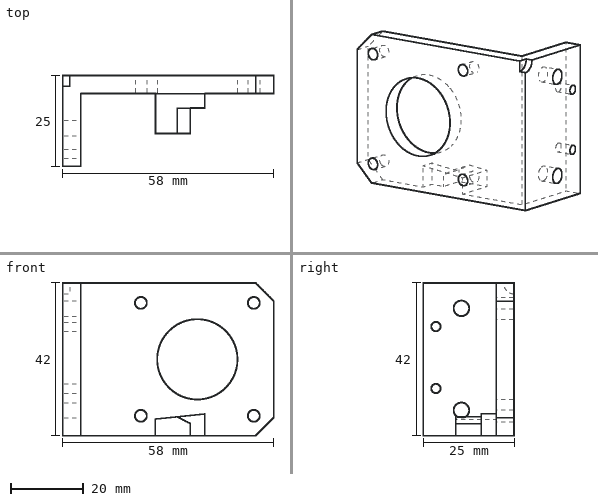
import cadquery as cq

LENGTH = 58.0
DEPTH = 25.0
HEIGHT = 42.0
WALL = 5.0
CORNER_CHAMFER = 5.0

BORE_DIAMETER = 22.0
BORE_X = 37.0
BORE_Z = HEIGHT / 2
SCREW_DIAMETER = 3.2
SCREW_SPACING = 31.0

MOUNT_DIAMETER = 4.2
MOUNT_Y = 10.5
MOUNT_SPACING = 28.0
PILOT_DIAMETER = 2.5
PILOT_Y = 3.5
PILOT_HEIGHTS = (13.0, 30.0)

RELIEF_RADIUS = 3.0
RELIEF_DEPTH = 2.0

LUG_LEFT = 25.5
LUG_RIGHT = 39.1
LUG_LEFT_HEIGHT = 4.6
LUG_RIGHT_HEIGHT = 6.0
LUG_REACH = 11.0
LUG_BASE_THICKNESS = 4.0
ARM_RIGHT = 35.1
ARM_BEVEL_START = 31.5
ARM_RIGHT_HEIGHT = 3.35

PLATE_FRONT = DEPTH - WALL


def make_plate():
    plate = cq.Workplane("XY").box(LENGTH, WALL, HEIGHT, centered=False)
    plate = plate.translate((0, PLATE_FRONT, 0))
    return plate.edges("|Y and >X").chamfer(CORNER_CHAMFER)


def make_flange():
    return cq.Workplane("XY").box(WALL, DEPTH, HEIGHT, centered=False)


def lug_top(x):
    """Height of the sloping top of the lug at position x."""
    slope = (LUG_RIGHT_HEIGHT - LUG_LEFT_HEIGHT) / (LUG_RIGHT - LUG_LEFT)
    return LUG_LEFT_HEIGHT + slope * (x - LUG_LEFT)


def extrude_forward(outline, reach):
    """Extrude an XZ outline from the plate's front face toward -Y."""
    face = cq.Workplane("XZ", origin=(0, PLATE_FRONT, 0))
    return face.polyline(outline).close().extrude(reach)


def make_lug():
    base = extrude_forward(
        [
            (LUG_LEFT, 0),
            (LUG_RIGHT, 0),
            (LUG_RIGHT, LUG_RIGHT_HEIGHT),
            (LUG_LEFT, LUG_LEFT_HEIGHT),
        ],
        LUG_BASE_THICKNESS,
    )
    arm = extrude_forward(
        [
            (LUG_LEFT, 0),
            (ARM_RIGHT, 0),
            (ARM_RIGHT, ARM_RIGHT_HEIGHT),
            (ARM_BEVEL_START, lug_top(ARM_BEVEL_START)),
            (LUG_LEFT, LUG_LEFT_HEIGHT),
        ],
        LUG_REACH,
    )
    return base.union(arm)


def plate_holes():
    """Cutters for the bore and screw holes through the motor plate."""
    face = cq.Workplane("XZ", origin=(BORE_X, PLATE_FRONT, BORE_Z))
    bore = face.circle(BORE_DIAMETER / 2).extrude(-WALL)
    screws = (
        face.rarray(SCREW_SPACING, SCREW_SPACING, 2, 2)
        .circle(SCREW_DIAMETER / 2)
        .extrude(-WALL)
    )
    return bore.union(screws)


def flange_holes():
    """Cutters for the mounting and pilot holes through the flange."""
    face = cq.Workplane("YZ")
    mount_points = [(MOUNT_Y, HEIGHT / 2 + side * MOUNT_SPACING / 2) for side in (-1, 1)]
    pilot_points = [(PILOT_Y, z) for z in PILOT_HEIGHTS]
    mounts = face.pushPoints(mount_points).circle(MOUNT_DIAMETER / 2).extrude(WALL)
    pilots = face.pushPoints(pilot_points).circle(PILOT_DIAMETER / 2).extrude(WALL)
    return mounts.union(pilots)


def corner_relief():
    """Round cutter centred on the flange's upper rear corner."""
    corner = cq.Workplane("YZ", origin=(0, DEPTH, HEIGHT))
    return corner.circle(RELIEF_RADIUS).extrude(RELIEF_DEPTH)


bracket = make_plate().union(make_flange()).union(make_lug())
result = bracket.cut(plate_holes()).cut(flange_holes()).cut(corner_relief())